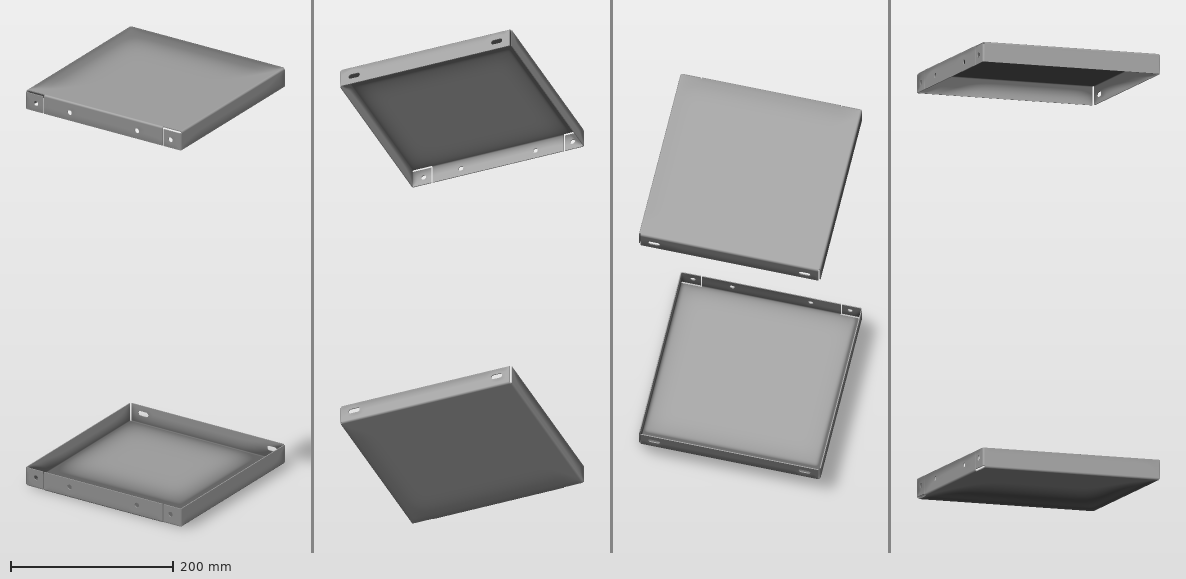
import cadquery as cq
width = 230.0
depth = 235.0
stack_height = 535.0
tray_height = 25.0

sheet = 1.2
bend = 2.45
root = 2 * bend

tab_length = 25.5
tab_gap = 1.5

hole_from_rim = 10.5
flange_hole = 6.5
flange_hole_x = 50.0
tab_hole = 6.5
tab_hole_x = 99.5
slot_x = 95.0
slot_length = 15.0
slot_width = 6.5

half_width = width / 2
half_depth = depth / 2
panel_half_width = half_width - bend
panel_half_depth = half_depth - bend
front_flange_half_width = half_width - tab_length - tab_gap
hole_z = hole_from_rim - tray_height


def folded_angle(plane, corner, leg_u, leg_v):
    """Bent L section: outer corner at `corner`, legs of signed length along the plane's two axes."""
    u, v = corner
    sign_u = 1 if leg_u > 0 else -1
    sign_v = 1 if leg_v > 0 else -1
    inner_bend = bend - sheet

    def arc_middle(radius):
        offset = bend - radius * 0.5**0.5
        return (u + sign_u * offset, v + sign_v * offset)

    return (
        cq.Workplane(plane)
        .moveTo(u + leg_u, v)
        .lineTo(u + sign_u * bend, v)
        .threePointArc(arc_middle(bend), (u, v + sign_v * bend))
        .lineTo(u, v + leg_v)
        .lineTo(u + sign_u * sheet, v + leg_v)
        .lineTo(u + sign_u * sheet, v + sign_v * bend)
        .threePointArc(arc_middle(inner_bend), (u + sign_u * bend, v + sign_v * sheet))
        .lineTo(u + leg_u, v + sign_v * sheet)
        .close()
    )


def make_panel():
    size_x = 2 * panel_half_width
    size_y = 2 * panel_half_depth
    return cq.Workplane("XY").box(size_x, size_y, sheet).translate((0, 0, -sheet / 2))


def make_end_flange(side, flange_half_width):
    """Flange folded down from the front (side = -1) or back (side = 1) edge of the panel."""
    section = folded_angle("YZ", (side * half_depth, 0), -side * root, -tray_height)
    return section.extrude(flange_half_width, both=True)


def make_side_wall(side):
    section = folded_angle("XZ", (side * half_width, 0), -side * root, -tray_height)
    return section.extrude(panel_half_depth, both=True)


def make_front_tab(side):
    """Tab folded in from the front end of a side wall, starting below the panel's bend."""
    section = folded_angle("XY", (side * half_width, -half_depth), -side * tab_length, root)
    return section.extrude(bend - tray_height).translate((0, 0, -bend))


def end_face_sketch(y, x):
    """Workplane for a symmetric pair of cuts at +x and -x through the sheet near depth y."""
    return cq.Workplane("XZ", origin=(0, y, 0)).pushPoints([(-x, hole_z), (x, hole_z)])


def make_tray():
    tray = make_panel()
    tray = tray.union(make_end_flange(-1, front_flange_half_width))
    tray = tray.union(make_end_flange(1, panel_half_width))
    for side in (-1, 1):
        tray = tray.union(make_side_wall(side))
        tray = tray.union(make_front_tab(side))

    flange_holes = end_face_sketch(-half_depth, flange_hole_x).circle(flange_hole / 2)
    tab_holes = end_face_sketch(-half_depth, tab_hole_x).circle(tab_hole / 2)
    back_slots = end_face_sketch(half_depth, slot_x).slot2D(slot_length, slot_width)
    for cut in (flange_holes, tab_holes, back_slots):
        tray = tray.cut(cut.extrude(bend, both=True))
    return tray.solids()


upper_tray = make_tray().translate((0, 0, stack_height / 2))
lower_tray = upper_tray.mirror("XY")

result = cq.Compound.makeCompound([upper_tray.val(), lower_tray.val()])